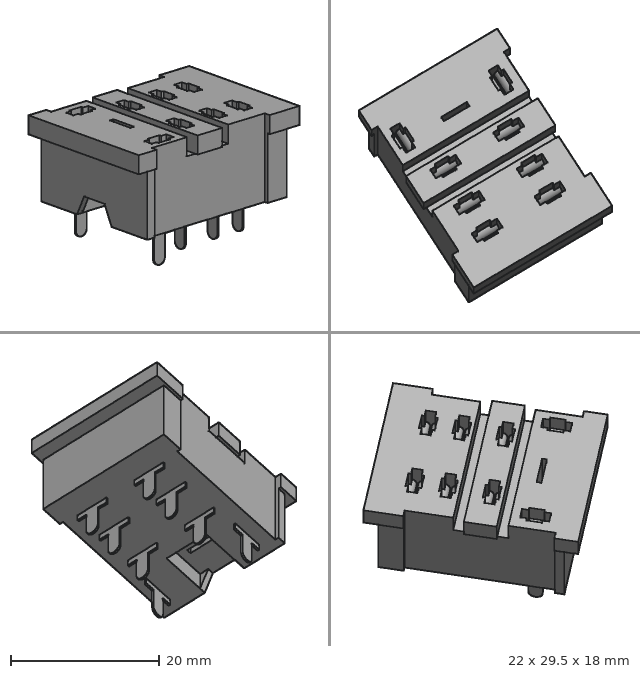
import cadquery as cq

TOTAL_WIDTH = 22.0
TOTAL_LENGTH = 29.5
TOTAL_HEIGHT = 18.0
PIN_LENGTH = 5.28
BODY_HEIGHT = TOTAL_HEIGHT - PIN_LENGTH

RIM_HEIGHT = 2.75
BODY_WIDTH = 21.18
BODY_LENGTH = 25.6
WAIST_WIDTH = 20.05
WAIST_FRONT_Y = -11.48
WAIST_BACK_Y = 9.25

BRIDGE_WIDTH = 20.95
BRIDGE_FRONT_Y = -3.48
BRIDGE_BACK_Y = 1.03
GROOVE_WIDTH = 1.53

FRONT_WALL = 1.0
CAVITY_BACK_Y = -4.72
CAVITY_HEIGHT = 2.95
NOTCH_BOTTOM_WIDTH = 6.9
NOTCH_TOP_WIDTH = 4.05

SLOT_WIDTH = 4.07
SLOT_LENGTH = 0.68
SLOT_Y = -7.73

CONTACT_SHIFT_X = 0.2
PAIR_SPACING = 10.0
PAIR_ROWS_Y = (8.82, 4.22, -1.8)
SIDE_PAIR_SPACING = 15.6
SIDE_PAIR_Y = -8.3

OPENING_WIDTH = 4.0
OPENING_WIDTH_DEPTH = 1.45
OPENING_CORE_WIDTH = 2.15
OPENING_CORE_DEPTH = 2.18
CHEEK_TOP_DEPTH = 2.35
CONTACT_GAP = 0.2
CHEEK_RADIUS = (OPENING_CORE_DEPTH - CONTACT_GAP) / 2

PIN_THICKNESS = 0.3
PIN_WIDTH = 1.98
SHOULDER_WIDTH = 5.07
SHOULDER_HEIGHT = 0.97
PIN_ROOT = 0.3


def block(x_size, y_range, z_range):
    """Box centred on X between the given Y and Z limits."""
    y_size = y_range[1] - y_range[0]
    z_size = z_range[1] - z_range[0]
    box = cq.Workplane("XY").box(x_size, y_size, z_size, centered=(True, False, False))
    return box.translate((0, y_range[0], z_range[0]))


def make_body():
    """Rimmed block with a narrower waist and a grooved top."""
    rim_bottom = BODY_HEIGHT - RIM_HEIGHT
    lower = block(BODY_WIDTH, (-BODY_LENGTH / 2, BODY_LENGTH / 2), (0, BODY_HEIGHT))
    rim = block(TOTAL_WIDTH, (-TOTAL_LENGTH / 2, TOTAL_LENGTH / 2), (rim_bottom, BODY_HEIGHT))
    body = lower.union(rim)

    waist_y = (WAIST_FRONT_Y, WAIST_BACK_Y)
    waist_cut = block(2 * TOTAL_WIDTH, waist_y, (0, BODY_HEIGHT))
    waist_core = block(WAIST_WIDTH, waist_y, (0, BODY_HEIGHT))
    body = body.cut(waist_cut.cut(waist_core))

    grooved_y = (BRIDGE_FRONT_Y - GROOVE_WIDTH, BRIDGE_BACK_Y + GROOVE_WIDTH)
    grooved_zone = block(TOTAL_WIDTH, grooved_y, (rim_bottom, BODY_HEIGHT))
    bridge = block(BRIDGE_WIDTH, (BRIDGE_FRONT_Y, BRIDGE_BACK_Y), (rim_bottom, BODY_HEIGHT))
    return body.cut(grooved_zone).union(bridge)


def make_cavity():
    """Space below the front of the body, its front notch and the slot above it."""
    front_y = -BODY_LENGTH / 2
    cavity = block(NOTCH_BOTTOM_WIDTH, (front_y + FRONT_WALL, CAVITY_BACK_Y), (0, CAVITY_HEIGHT))
    notch = (
        cq.Workplane("XZ", origin=(0, front_y, 0))
        .moveTo(-NOTCH_BOTTOM_WIDTH / 2, 0)
        .lineTo(-NOTCH_TOP_WIDTH / 2, CAVITY_HEIGHT)
        .lineTo(NOTCH_TOP_WIDTH / 2, CAVITY_HEIGHT)
        .lineTo(NOTCH_BOTTOM_WIDTH / 2, 0)
        .close()
        .extrude(-FRONT_WALL)
    )
    slot_y = (SLOT_Y - SLOT_LENGTH / 2, SLOT_Y + SLOT_LENGTH / 2)
    slot = block(SLOT_WIDTH, slot_y, (0, BODY_HEIGHT))
    return cavity.union(notch).union(slot)


def make_opening():
    """Cross-shaped opening that narrows between two rounded cheeks to the contact gap."""
    cheek_top = BODY_HEIGHT - CHEEK_TOP_DEPTH
    floor = cheek_top - CHEEK_RADIUS
    cross = cq.Workplane("XY")
    for x_size, y_size in (
        (OPENING_WIDTH, OPENING_WIDTH_DEPTH),
        (OPENING_CORE_WIDTH, OPENING_CORE_DEPTH),
    ):
        cross = cross.union(block(x_size, (-y_size / 2, y_size / 2), (floor, BODY_HEIGHT)))
    for side in (-1, 1):
        cheek = (
            cq.Workplane("YZ")
            .center(side * OPENING_CORE_DEPTH / 2, floor)
            .circle(CHEEK_RADIUS)
            .extrude(OPENING_WIDTH / 2, both=True)
        )
        cross = cross.cut(cheek)
    return cross


def make_pin():
    """Crosswise pin hanging from the underside of the body."""
    shoulder = block(
        SHOULDER_WIDTH,
        (-PIN_THICKNESS / 2, PIN_THICKNESS / 2),
        (-SHOULDER_HEIGHT, PIN_ROOT),
    )
    tip_radius = PIN_WIDTH / 2
    tip_start = tip_radius - PIN_LENGTH
    blade = (
        cq.Workplane("XZ")
        .moveTo(-tip_radius, 0)
        .lineTo(-tip_radius, tip_start)
        .threePointArc((0, -PIN_LENGTH), (tip_radius, tip_start))
        .lineTo(tip_radius, 0)
        .close()
        .extrude(PIN_THICKNESS / 2, both=True)
    )
    return shoulder.union(blade)


def at_contacts(shape):
    """Copies of a crosswise contact shape at every contact position."""
    turned = shape.rotate((0, 0, 0), (0, 0, 1), 90)
    copies = []
    for side in (-1, 1):
        pair_x = CONTACT_SHIFT_X + side * PAIR_SPACING / 2
        side_x = CONTACT_SHIFT_X + side * SIDE_PAIR_SPACING / 2
        for row_y in PAIR_ROWS_Y:
            copies.append(shape.translate((pair_x, row_y, 0)))
        copies.append(turned.translate((side_x, SIDE_PAIR_Y, 0)))
    return copies


result = make_body().cut(make_cavity())
for opening in at_contacts(make_opening()):
    result = result.cut(opening)
for pin in at_contacts(make_pin()):
    result = result.union(pin)